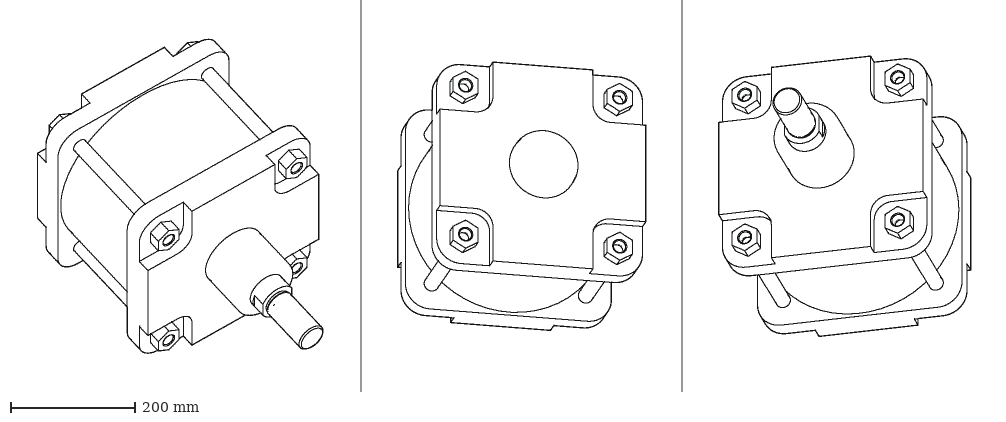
import cadquery as cq


boss_length = 15.5
plate_thickness = 56.5
barrel_length = 189.0
nose_length = 90.0
overall_length = 532.0

cap_outer_x = boss_length
cap_inner_x = cap_outer_x + plate_thickness
head_inner_x = cap_inner_x + barrel_length
head_outer_x = head_inner_x + plate_thickness
nose_end_x = head_outer_x + nose_length

plate_side = 340.0
plate_corner_radius = 40.0
pocket_inner_offset = 82.5
pocket_depth = 23.5
pocket_radius = 29.0
boss_diameter = 110.5
boss_fillet = 5.0

barrel_diameter = 330.0

tie_rod_offset = 127.0
tie_rod_diameter = 24.0
nut_across_flats = 41.5
nut_inset = 1.5
nut_height = pocket_depth - nut_inset
nut_hole_diameter = 20.0
nut_hole_chamfer = 1.5

rod_diameter = 64.0
rod_collar_length = 8.0
rod_flats_length = 22.5
rod_across_flats = 57.5
neck_length = 5.0
neck_diameter = 44.5
stud_diameter = 48.0
stud_chamfer = 2.5
stud_length = overall_length - nose_end_x - rod_collar_length - rod_flats_length - neck_length

tie_rod_centres = [(y, z) for y in (-tie_rod_offset, tie_rod_offset) for z in (-tie_rod_offset, tie_rod_offset)]


def section_at(x):
    """Plane across the axis at x: local x is Y, local y is Z, extrusion goes toward +X."""
    return cq.Workplane("YZ", origin=(x, 0, 0))


def make_end_plate(inner_x, outward, boss_projection):
    """Square plate with corner pockets, tie-rod holes and a round boss on its outer face.

    outward is +1 or -1, the X direction from the barrel to the outer face.
    """
    outer_x = inner_x + outward * plate_thickness
    plate = section_at(inner_x).rect(plate_side, plate_side).extrude(outward * plate_thickness)
    plate = plate.edges("|X").fillet(plate_corner_radius)

    boss = section_at(outer_x).circle(boss_diameter / 2).extrude(outward * boss_projection)
    boss_end = ">X" if outward > 0 else "<X"
    plate = plate.union(boss.faces(boss_end).edges().fillet(boss_fillet))

    pocket_side = plate_side - 2 * pocket_inner_offset
    pockets = (
        section_at(outer_x)
        .rect(plate_side, plate_side, forConstruction=True)
        .vertices()
        .rect(pocket_side, pocket_side)
        .extrude(-outward * pocket_depth)
        .edges("|X")
        .fillet(pocket_radius)
    )
    holes = (
        section_at(inner_x)
        .pushPoints(tie_rod_centres)
        .circle(tie_rod_diameter / 2)
        .extrude(outward * plate_thickness)
    )
    return plate.cut(pockets).cut(holes)


def make_barrel():
    """Plain cylinder held between the two end plates."""
    return section_at(cap_inner_x).circle(barrel_diameter / 2).extrude(barrel_length)


def make_tie_rod(y, z):
    """Rod with a hexagon nut at each end; the countersunk nut holes stop at the pocket floors."""
    first_seat_x = cap_outer_x + pocket_depth
    last_seat_x = head_outer_x - pocket_depth
    tie_rod = (
        section_at(first_seat_x)
        .center(y, z)
        .circle(tie_rod_diameter / 2)
        .extrude(last_seat_x - first_seat_x)
    )
    for seat_x, outward in ((first_seat_x, -1), (last_seat_x, 1)):
        nut_end = ">X" if outward > 0 else "<X"
        nut = (
            section_at(seat_x)
            .center(y, z)
            .polygon(6, nut_across_flats, circumscribed=True)
            .circle(nut_hole_diameter / 2)
            .extrude(outward * nut_height)
            .faces(nut_end)
            .edges("%CIRCLE")
            .chamfer(nut_hole_chamfer)
        )
        tie_rod = tie_rod.union(nut)
    return tie_rod


def make_piston_rod():
    """Round rod with two wrench flats facing -Y and +Y, an undercut neck and an end stud."""
    flats_x = nose_end_x + rod_collar_length
    neck_x = flats_x + rod_flats_length
    stud_x = neck_x + neck_length

    collar = section_at(nose_end_x).circle(rod_diameter / 2).extrude(rod_collar_length)
    flats = section_at(flats_x).circle(rod_diameter / 2).extrude(rod_flats_length)
    flats_envelope = section_at(flats_x).rect(rod_across_flats, rod_diameter).extrude(rod_flats_length)
    flats = flats.intersect(flats_envelope)
    neck = section_at(neck_x).circle(neck_diameter / 2).extrude(neck_length)
    stud = section_at(stud_x).circle(stud_diameter / 2).extrude(stud_length)
    stud = stud.faces(">X").edges().chamfer(stud_chamfer)
    return collar.union(flats).union(neck).union(stud)


cap = make_end_plate(cap_inner_x, -1, boss_length)
head = make_end_plate(head_inner_x, 1, nose_length)
barrel = make_barrel()
tie_rods = [make_tie_rod(y, z) for y, z in tie_rod_centres]
piston_rod = make_piston_rod()

result = cq.Compound.makeCompound(
    [cap.val(), head.val(), barrel.val(), piston_rod.val(), *[tie_rod.val() for tie_rod in tie_rods]]
)